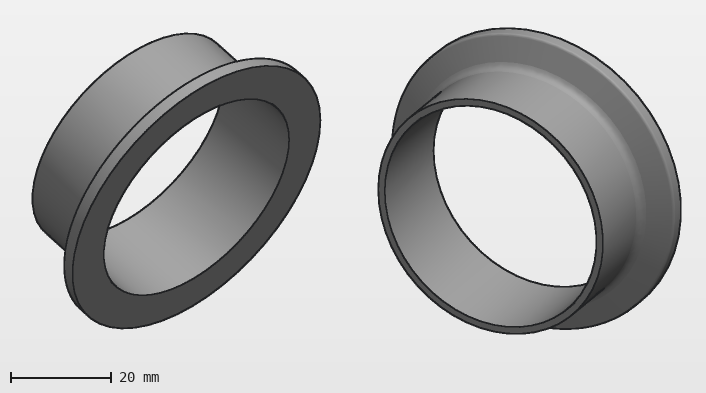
import cadquery as cq
import math

length = 20.5
flange_radius = 64.0 / 2
tube_radius = 50.8 / 2
bore_radius = 47.8 / 2
rim_width = 2.8
taper_angle = 20.0
neck_fillet = 2.0
rim_fillet = 0.65

rim_start = length - rim_width
taper_run = (flange_radius - tube_radius) * math.tan(math.radians(taper_angle))
taper_start = rim_start - taper_run

section = [
    (0, bore_radius),
    (0, tube_radius),
    (taper_start, tube_radius),
    (rim_start, flange_radius),
    (length, flange_radius),
    (length, bore_radius),
]
ferrule = cq.Workplane("XY").polyline(section).close().revolve(360, (0, 0, 0), (1, 0, 0))


def round_circle(body, x, radius, fillet):
    """Round the circular edge of the given radius that lies in the plane at x."""
    half_gap = 0.05
    box = cq.selectors.BoxSelector(
        (x - half_gap, -2 * radius, -2 * radius),
        (x + half_gap, 2 * radius, 2 * radius),
        boundingbox=True,
    )
    return body.edges(box).fillet(fillet)


ferrule = round_circle(ferrule, taper_start, tube_radius, neck_fillet)
result = round_circle(ferrule, rim_start, flange_radius, rim_fillet)